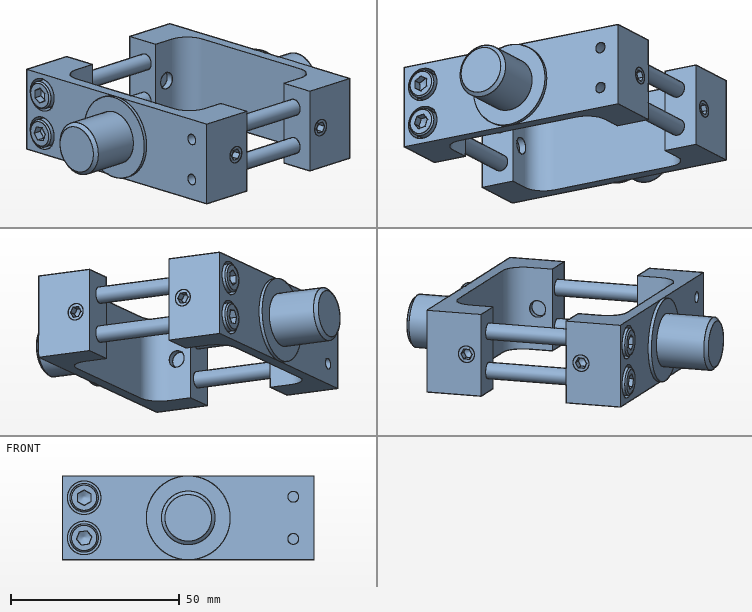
import cadquery as cq
import math


total_length = 95.0
yoke_width = 75.0
yoke_height = 25.0

plate_outer_y = 30.5
arm_end_y = 13.4
window_width = 53.3
wall_thickness = 3.8
corner_radius = 6.3
arm_length = plate_outer_y - arm_end_y
arm_thickness = (yoke_width - window_width) / 2

shoulder_height = 1.0
shoulder_diameter = yoke_height
pin_diameter = 16.0
pin_chamfer = 1.0

rod_diameter = 4.9
rod_x = 31.0
rod_z = 6.0

head_diameter = 8.5
head_chamfer = 0.5
head_protrusion = shoulder_height
head_recess_diameter = 10.0
head_recess_depth = 4.0
head_socket_flats = 4.0
head_socket_depth = 2.5
upper_socket_angle = 30
lower_socket_angle = 8

pilot_diameter = 3.2
pilot_depth = arm_length / 2
pilot_x = 31.3
pilot_z = 6.3

grub_diameter = 5.0
grub_y = 18.05
grub_length = 8.55
grub_inset = 0.1
grub_socket_flats = 3.0
grub_socket_depth = 2.5

socket_tip_angle = 120


def y_plane(x, y, z):
    """Plane at a point, with its normal along -Y and its own x axis along +X."""
    return cq.Plane(origin=(x, y, z), xDir=(1, 0, 0), normal=(0, -1, 0))


def side_plane(side, distance):
    """Plane on the grub screw axis, facing outward on one side (-1 or +1)."""
    return cq.Plane(origin=(side * distance, -grub_y, 0), xDir=(0, 1, 0), normal=(side, 0, 0))


def hex_socket(plane, flats, depth, angle):
    """Hexagonal hole sunk against the plane normal, ending in a conical point."""
    hex_radius = flats / math.sqrt(3)
    tip_depth = hex_radius / math.tan(math.radians(socket_tip_angle / 2))
    full_depth = depth + tip_depth
    prism = (
        cq.Workplane(plane)
        .transformed(rotate=(0, 0, angle))
        .polygon(6, 2 * hex_radius)
        .extrude(-full_depth)
    )
    pointed_bore = cq.Workplane(plane).circle(hex_radius).extrude(-depth)
    tip = cq.Solid.makeCone(
        hex_radius, 0, tip_depth, pnt=plane.toWorldCoords((0, 0, -depth)), dir=-plane.zDir
    )
    return prism.intersect(pointed_bore.union(cq.Workplane(tip)))


def clamp_body():
    """C-shaped half on the -Y side, with its window open toward +Y."""
    body = cq.Workplane("XY").box(yoke_width, arm_length, yoke_height)
    body = body.translate((0, -(plate_outer_y + arm_end_y) / 2, 0))
    window_length = 2 * (plate_outer_y - wall_thickness)
    window = (
        cq.Workplane("XY")
        .rect(window_width, window_length)
        .extrude(yoke_height / 2, both=True)
        .edges("|Z")
        .fillet(corner_radius)
    )
    return body.cut(window)


def trunnion():
    shoulder = (
        cq.Workplane(y_plane(0, -plate_outer_y, 0)).circle(shoulder_diameter / 2).extrude(shoulder_height)
    )
    pin_length = total_length / 2 - plate_outer_y
    pin = (
        cq.Workplane(y_plane(0, -plate_outer_y, 0))
        .circle(pin_diameter / 2)
        .extrude(pin_length)
        .faces("<Y")
        .chamfer(pin_chamfer)
    )
    return shoulder.union(pin)


def add_rod_head(half, z, socket_angle):
    """Recess the plate and seat one socket head in it."""
    recess = (
        cq.Workplane(y_plane(-rod_x, -plate_outer_y, z))
        .circle(head_recess_diameter / 2)
        .extrude(-head_recess_depth)
    )
    head_top = y_plane(-rod_x, -plate_outer_y - head_protrusion, z)
    head = (
        cq.Workplane(head_top)
        .circle(head_diameter / 2)
        .extrude(-head_recess_depth - head_protrusion)
        .faces("<Y")
        .chamfer(head_chamfer)
    )
    socket = hex_socket(head_top, head_socket_flats, head_socket_depth, socket_angle)
    return half.cut(recess).union(head).cut(socket)


def cut_pilot_holes(half):
    holes = (
        cq.Workplane(y_plane(pilot_x, -plate_outer_y, 0))
        .pushPoints([(0, pilot_z), (0, -pilot_z)])
        .circle(pilot_diameter / 2)
        .extrude(-pilot_depth)
    )
    return half.cut(holes)


def add_grub_screw(half, side):
    """Cross hole through the arm on one side (-1 or +1) with a grub screw near its outer face."""
    outer_face = side_plane(side, yoke_width / 2)
    screw_top = side_plane(side, yoke_width / 2 - grub_inset)
    hole = cq.Workplane(outer_face).circle(grub_diameter / 2).extrude(-arm_thickness)
    screw = cq.Workplane(screw_top).circle(grub_diameter / 2).extrude(-grub_length)
    socket = hex_socket(screw_top, grub_socket_flats, grub_socket_depth, 0)
    return half.cut(hole).union(screw).cut(socket)


def clamp_half():
    half = clamp_body().union(trunnion())
    half = add_rod_head(half, rod_z, upper_socket_angle)
    half = add_rod_head(half, -rod_z, lower_socket_angle)
    half = cut_pilot_holes(half)
    for side in (-1, 1):
        half = add_grub_screw(half, side)
    return half


def tie_rods():
    """Rods spanning the gap between the facing arm ends."""
    return (
        cq.Workplane(y_plane(0, arm_end_y, 0))
        .rect(2 * rod_x, 2 * rod_z, forConstruction=True)
        .vertices()
        .circle(rod_diameter / 2)
        .extrude(2 * arm_end_y)
    )


front_half = clamp_half()
back_half = front_half.rotate((0, 0, 0), (0, 0, 1), 180)
result = front_half.union(back_half).union(tie_rods())